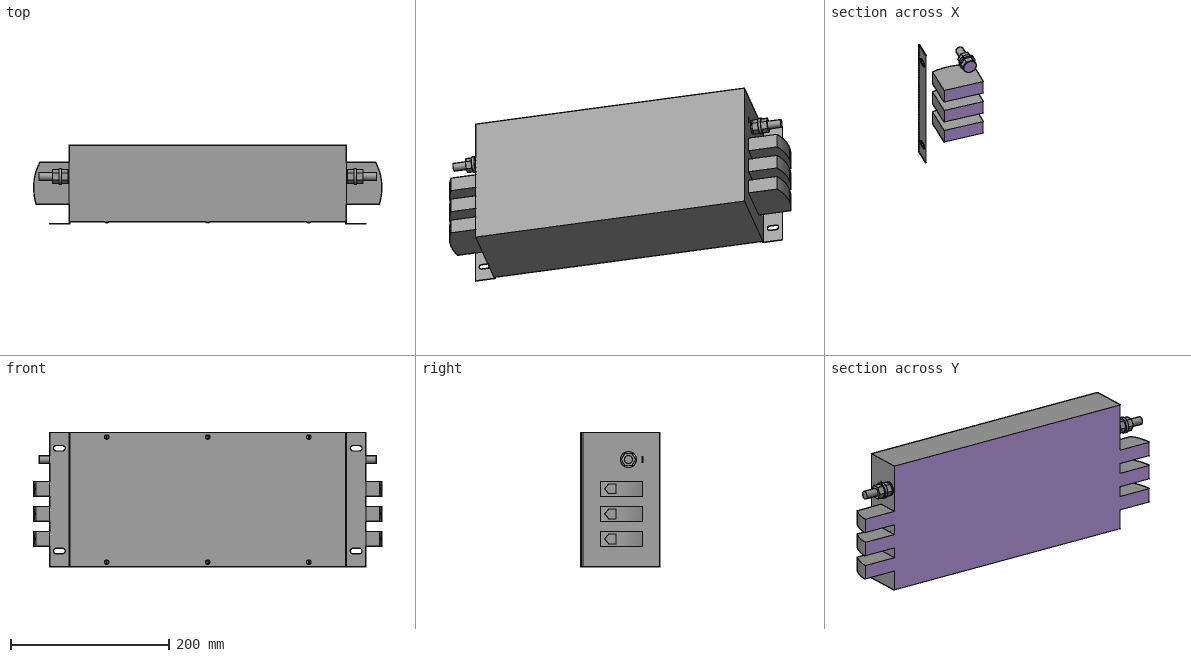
import cadquery as cq
import math

LENGTH = 440.5
DEPTH = 100.0
HEIGHT = 170.0

BODY_LENGTH = 350.3
BODY_FRONT = 2.85

FLANGE_SPAN = 400.0
SHEET = 1.1
SLOT_SPACING_X = 375.5
SLOT_SPACING_Z = 130.0
SLOT_LENGTH = 14.5
SLOT_WIDTH = 6.5

BLOCK_COUNT = 3
BLOCK_PITCH = 31.7
BLOCK_HEIGHT = 19.0
BLOCK_MIDDLE_Z = -18.0
BLOCK_FRONT = 25.0
BLOCK_BACK = 78.5
CROWN_Y = 47.0
FRONT_RADIUS = 79.5
BACK_RADIUS = 64.8

RECESS_DEPTH = 2.5
RECESS_HEIGHT = 12.5
RECESS_OFFSET = 2.0
RECESS_BACK = CROWN_Y - RECESS_OFFSET
RECESS_SHOULDER = 35.2
RECESS_TIP = 30.5

STUD_Y = 60.5
STUD_Z = 50.5
STUD_DIAMETER = 10.0
STUD_END = 213.3
NUT_CORNERS = 18.0
NUT_THICKNESS = 8.0
WASHER_DIAMETER = 20.3
WASHER_THICKNESS = 3.5
COLLAR_DIAMETER = 17.5
COLLAR_THICKNESS = 1.8

COVER_SCREW_DIAMETER = 5.7
COVER_SCREW_HEAD = 1.5
SIDE_SCREW_DIAMETER = 7.5
SIDE_SCREW_HEAD = 0.5
SCREW_SLOT_WIDTH = 1.5
SCREW_SLOT_DEPTH = 0.5
SCREW_DOME_FULLNESS = 0.75
SCREW_EMBED = 1.0
COVER_SCREW_PITCH = 127.8
COVER_SCREW_SPACING_Z = 158.0
SIDE_SCREW_Y = 78.5

WALL_X = BODY_LENGTH / 2
WALL_INNER_X = WALL_X - SHEET


def cylinder_x(diameter, start, end, y, z):
    """Cylinder along X between two X positions."""
    plane = cq.Plane(origin=(start, y, z), xDir=(0, 1, 0), normal=(1, 0, 0))
    return cq.Workplane(plane).circle(diameter / 2).extrude(end - start)


def make_body():
    depth = DEPTH - BODY_FRONT
    body = cq.Workplane("XY").box(BODY_LENGTH, depth, HEIGHT)
    return body.translate((0, BODY_FRONT + depth / 2, 0))


def make_flange():
    """Slotted L-section flange on the +X side."""
    outer = FLANGE_SPAN / 2
    flange = (
        cq.Workplane("XY", origin=(0, 0, -HEIGHT / 2))
        .moveTo(WALL_INNER_X, 0)
        .lineTo(outer, 0)
        .lineTo(outer, SHEET)
        .lineTo(WALL_X, SHEET)
        .lineTo(WALL_X, BODY_FRONT + SHEET)
        .lineTo(WALL_INNER_X, BODY_FRONT + SHEET)
        .close()
        .extrude(HEIGHT)
    )
    slots = (
        cq.Workplane("XZ")
        .pushPoints([(SLOT_SPACING_X / 2, side * SLOT_SPACING_Z / 2) for side in (-1, 1)])
        .slot2D(SLOT_LENGTH, SLOT_WIDTH)
        .extrude(SHEET, both=True)
    )
    return flange.cut(slots)


def make_block(z):
    """Terminal block with a rounded end and an arrow recess, on the +X side."""
    crown_x = LENGTH / 2

    def end_point(y, radius):
        return (crown_x - radius + math.sqrt(radius**2 - (y - CROWN_Y) ** 2), y)

    block = (
        cq.Workplane("XY", origin=(0, 0, z - BLOCK_HEIGHT / 2))
        .moveTo(WALL_INNER_X, BLOCK_FRONT)
        .lineTo(*end_point(BLOCK_FRONT, FRONT_RADIUS))
        .threePointArc(end_point((BLOCK_FRONT + CROWN_Y) / 2, FRONT_RADIUS), (crown_x, CROWN_Y))
        .threePointArc(
            end_point((CROWN_Y + BLOCK_BACK) / 2, BACK_RADIUS),
            end_point(BLOCK_BACK, BACK_RADIUS),
        )
        .lineTo(WALL_INNER_X, BLOCK_BACK)
        .close()
        .extrude(BLOCK_HEIGHT)
    )
    half = RECESS_HEIGHT / 2
    recess = (
        cq.Workplane("YZ", origin=(crown_x - RECESS_DEPTH, 0, z))
        .polyline([
            (RECESS_BACK, -half),
            (RECESS_BACK, half),
            (RECESS_SHOULDER, half),
            (RECESS_TIP, 0),
            (RECESS_SHOULDER, -half),
        ])
        .close()
        .extrude(RECESS_DEPTH)
    )
    return block.cut(recess)


def make_stud():
    """Collar, nut, washer and nut stacked on a stud, on the +X side."""
    inner_nut = WALL_X + COLLAR_THICKNESS
    washer = inner_nut + NUT_THICKNESS
    outer_nut = washer + WASHER_THICKNESS
    stud = cylinder_x(STUD_DIAMETER, WALL_INNER_X, STUD_END, STUD_Y, STUD_Z)
    stud = stud.union(cylinder_x(COLLAR_DIAMETER, WALL_X, inner_nut, STUD_Y, STUD_Z))
    stud = stud.union(cylinder_x(WASHER_DIAMETER, washer, outer_nut, STUD_Y, STUD_Z))
    for start in (inner_nut, outer_nut):
        nut = cq.Workplane("YZ", origin=(start, STUD_Y, STUD_Z)).polygon(6, NUT_CORNERS)
        stud = stud.union(nut.extrude(NUT_THICKNESS))
    return stud


def make_screw(diameter, height):
    """Domed screw head facing +Z, seated at Z = 0, with its slot along Y."""
    radius = diameter / 2
    head = (
        cq.Workplane("XZ")
        .moveTo(0, -SCREW_EMBED)
        .lineTo(radius, -SCREW_EMBED)
        .lineTo(radius, 0)
        .threePointArc((radius / 2, SCREW_DOME_FULLNESS * height), (0, height))
        .close()
        .revolve(360, (0, 0, 0), (0, 1, 0))
    )
    slot = cq.Workplane("XY").box(SCREW_SLOT_WIDTH, diameter, 2 * SCREW_SLOT_DEPTH)
    return head.cut(slot.translate((0, 0, height)))


def make_end():
    """Everything fitted to the +X end of the box."""
    end = make_flange().union(make_stud())
    for index in range(BLOCK_COUNT):
        offset = index - (BLOCK_COUNT - 1) / 2
        end = end.union(make_block(BLOCK_MIDDLE_Z + offset * BLOCK_PITCH))
    side_screw = make_screw(SIDE_SCREW_DIAMETER, SIDE_SCREW_HEAD)
    side_screw = side_screw.rotate((0, 0, 0), (1, 0, 0), 90).rotate((0, 0, 0), (0, 0, 1), 90)
    return end.union(side_screw.translate((WALL_X, SIDE_SCREW_Y, STUD_Z)))


end = make_end()
result = make_body().union(end).union(end.mirror("YZ"))

cover_screw = make_screw(COVER_SCREW_DIAMETER, COVER_SCREW_HEAD).rotate((0, 0, 0), (1, 0, 0), 90)
for column in (-1, 0, 1):
    for row in (-1, 1):
        place = (column * COVER_SCREW_PITCH, BODY_FRONT, row * COVER_SCREW_SPACING_Z / 2)
        result = result.union(cover_screw.translate(place))